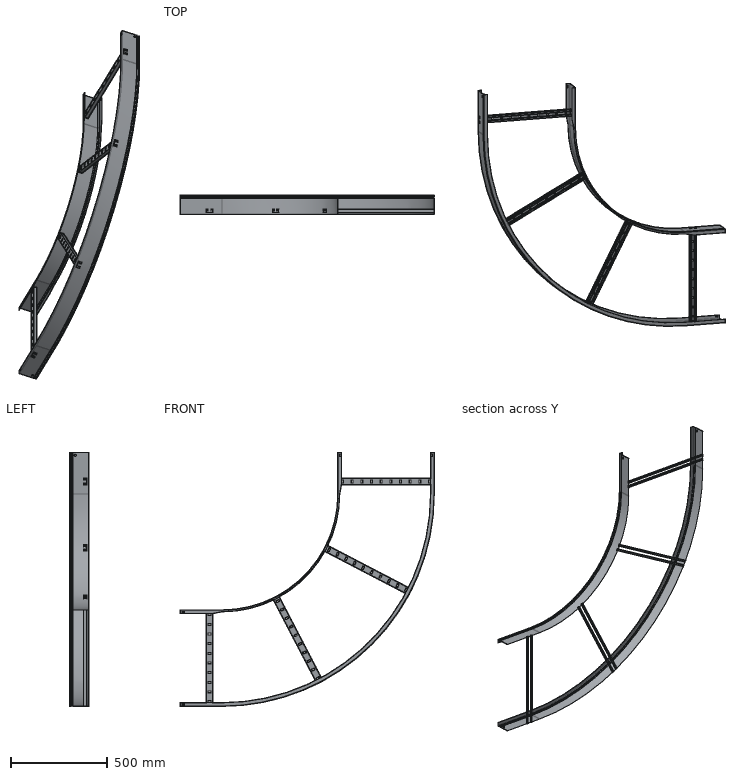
import cadquery as cq
import math

SIZE = 1318.0
RAIL_HEIGHT = 100.0
SHEET = 2.0

STRAIGHT = 217.0
OUTER_RADIUS = SIZE - STRAIGHT
INNER_RADIUS = 600.0
FLANGE = 20.0
CORNER_RADIUS = 3.0
BEND_CENTRE = cq.Vector(STRAIGHT, 0, OUTER_RADIUS)
QUARTER = 90

BEND_FLANGE = 10.0
TAPER_LENGTH = 49.0

GROOVE_START = RAIL_HEIGHT - 17.0
GROOVE_END = RAIL_HEIGHT - 7.0
GROOVE_DEPTH = 5.0

END_GAP = 16.0
FLANGE_SLOT_LENGTH = 12.0
FLANGE_SLOT_WIDTH = 7.0
FLANGE_SLOT_OFFSET = 13.0
WEB_HOLE_DIAMETER = 9.0
WEB_HOLE_Y = RAIL_HEIGHT - 29.0

RUNG_WIDTH = 35.0
RUNG_Y = 9.0
RUNG_DEPTH = 20.0
LIP = 10.0
LIP_RETURN = 10.0
RUNG_SETBACK = 66.0
RUNG_ANGLE = 27.5

SLOT_COUNT = 10
SLOT_PITCH = 50.0
SLOT_LENGTH = 15.0
SLOT_WIDTH = 8.0


def turned(shape, degrees):
    """Rotate a shape about the bend axis, from the +X arm towards the -Z arm."""
    axis_end = BEND_CENTRE + cq.Vector(0, 13, 0)
    return shape.rotate(BEND_CENTRE.toTuple(), axis_end.toTuple(), degrees)


def swept(outline):
    """Sweep a closed (radius, y) wire along a straight, the quarter bend and a straight."""
    section = cq.Face.makeFromWires(outline.moved(cq.Location(BEND_CENTRE)))
    bend = cq.Solid.revolve(section, QUARTER, BEND_CENTRE, BEND_CENTRE + cq.Vector(0, 13, 0))
    upper_leg = cq.Solid.extrudeLinear(section, cq.Vector(0, 0, STRAIGHT))
    lower_leg = turned(cq.Solid.extrudeLinear(section, cq.Vector(0, 0, -STRAIGHT)), QUARTER)
    return cq.Workplane(bend).union(cq.Workplane(upper_leg)).union(cq.Workplane(lower_leg))


def rail_outline(web_radius, inward):
    """Grooved channel section; inward (+1 or -1) is the radial direction of the flanges."""
    groove_middle = (GROOVE_START + GROOVE_END) / 2
    web_back = [
        (0, 0),
        (0, GROOVE_START),
        (GROOVE_DEPTH, groove_middle),
        (0, GROOVE_END),
        (0, RAIL_HEIGHT),
    ]
    web_front = [
        (SHEET, RAIL_HEIGHT - SHEET),
        (SHEET, GROOVE_END),
        (SHEET + GROOVE_DEPTH, groove_middle),
        (SHEET, GROOVE_START),
        (SHEET, SHEET),
    ]
    upper_tip = [(FLANGE, RAIL_HEIGHT), (FLANGE, RAIL_HEIGHT - SHEET)]
    lower_tip = [(FLANGE, SHEET), (FLANGE, 0)]

    points = web_back + upper_tip + web_front + lower_tip
    wire = cq.Wire.makePolygon([(web_radius + inward * depth, y) for depth, y in points], close=True)
    bends = [
        (CORNER_RADIUS, web_back[0]),
        (CORNER_RADIUS, web_back[-1]),
        (CORNER_RADIUS - SHEET, web_front[0]),
        (CORNER_RADIUS - SHEET, web_front[-1]),
    ]
    for radius, (depth, y) in bends:
        corner = cq.Vector(web_radius + inward * depth, y, 0)
        vertex = min(wire.Vertices(), key=lambda v: (v.Center() - corner).Length)
        wire = wire.fillet2D(radius, [vertex])
    return wire


def bay(inner, outer):
    """Full-height space between two radii, following the run of the rails."""
    corners = [(inner, 0), (outer, 0), (outer, RAIL_HEIGHT), (inner, RAIL_HEIGHT)]
    return swept(cq.Wire.makePolygon(corners, close=True))


def flange_trim():
    """Cutter that narrows the inner rail's flanges around the bend."""
    full = INNER_RADIUS + FLANGE
    trimmed = INNER_RADIUS + BEND_FLANGE
    middle = trimmed * math.sqrt(0.5)
    plane = cq.Plane(origin=BEND_CENTRE.toTuple(), xDir=(1, 0, 0), normal=(0, -1, 0))
    outline = (
        cq.Workplane(plane)
        .moveTo(-TAPER_LENGTH, -full)
        .lineTo(0, -trimmed)
        .threePointArc((middle, -middle), (trimmed, 0))
        .lineTo(full, TAPER_LENGTH)
        .lineTo(full, -full)
        .close()
    )
    return outline.extrude(-RAIL_HEIGHT)


def flange_slots(web_radius, inward):
    """Cutters for the slots through the -Y flange, one at each end of a rail."""
    offset = web_radius + inward * FLANGE_SLOT_OFFSET
    size = (FLANGE_SLOT_WIDTH, 2 * SHEET, FLANGE_SLOT_LENGTH)
    along = STRAIGHT - END_GAP
    upper = cq.Workplane("XY").box(*size).translate(BEND_CENTRE + cq.Vector(offset, 0, along))
    lower = cq.Workplane("XY").box(*size).translate(BEND_CENTRE + cq.Vector(offset, 0, -along))
    return upper.add(turned(lower, QUARTER))


def web_hole(web_radius, along):
    """Cutter for a round web hole on the +X arm, at a signed distance along the straight."""
    start = BEND_CENTRE + cq.Vector(web_radius, WEB_HOLE_Y, along)
    hole = cq.Workplane(cq.Plane(origin=start.toTuple(), xDir=(0, 1, 0), normal=(1, 0, 0)))
    return hole.circle(WEB_HOLE_DIAMETER / 2).extrude(2 * SHEET, both=True)


def rung_blank():
    """Lipped C-section along the +X arm, long enough to pass through both rail webs."""
    half = RUNG_WIDTH / 2
    top = RUNG_Y + RUNG_DEPTH
    inside = half - SHEET
    lip_end = half - LIP
    right_side = [
        (half, RUNG_Y),
        (half, top),
        (lip_end, top),
        (lip_end, top - LIP_RETURN),
        (lip_end + SHEET, top - LIP_RETURN),
        (lip_end + SHEET, top - SHEET),
        (inside, top - SHEET),
        (inside, RUNG_Y + SHEET),
    ]
    left_side = [(-z, y) for z, y in reversed(right_side)]
    start = BEND_CENTRE + cq.Vector(INNER_RADIUS - FLANGE, 0, 0)
    plane = cq.Plane(origin=start.toTuple(), xDir=(0, 0, 1), normal=(1, 0, 0))
    length = OUTER_RADIUS - INNER_RADIUS + 2 * FLANGE
    outline = [(z, -y) for z, y in right_side + left_side]
    return cq.Workplane(plane).polyline(outline).close().extrude(length)


def rung_slots():
    """Cutters for the row of slots, centred between the two webs."""
    middle = (INNER_RADIUS + OUTER_RADIUS) / 2
    slots = cq.Workplane("XY")
    for i in range(SLOT_COUNT):
        offset = middle + (i - (SLOT_COUNT - 1) / 2) * SLOT_PITCH
        slot = cq.Workplane("XY").box(SLOT_WIDTH, 3 * SHEET, SLOT_LENGTH)
        slots = slots.add(slot.translate(BEND_CENTRE + cq.Vector(offset, RUNG_Y, 0)))
    return slots


def tab_zone():
    """Parts of the rung section that continue through the rail webs: the front and the lips."""
    length = 2 * SIZE
    front = cq.Workplane("XY").box(length, 2 * SHEET, RUNG_WIDTH)
    lips = cq.Workplane("XY").box(length, 2 * LIP_RETURN, RUNG_WIDTH)
    front = front.translate(BEND_CENTRE + cq.Vector(0, RUNG_Y, 0))
    lips = lips.translate(BEND_CENTRE + cq.Vector(0, RUNG_Y + RUNG_DEPTH, 0))
    return front.add(lips)


def rung(degrees, shift):
    """Slotted rung on the arm at this angle, shifted along +Z before it is turned there."""
    offset = (0, 0, shift)
    bar = turned(rung_blank().translate(offset), degrees)
    tabs = turned(tab_zone().translate(offset), degrees)
    slots = turned(rung_slots().translate(offset), degrees)
    between_webs = bar.intersect(bay(INNER_RADIUS + SHEET, OUTER_RADIUS - SHEET))
    with_tabs = bar.intersect(bay(INNER_RADIUS, OUTER_RADIUS)).intersect(tabs)
    return between_webs.union(with_tabs).cut(slots)


rungs = [
    rung(0, RUNG_SETBACK),
    rung(RUNG_ANGLE, 0),
    rung(QUARTER - RUNG_ANGLE, 0),
    rung(QUARTER, -RUNG_SETBACK),
]

inner_rail = swept(rail_outline(INNER_RADIUS, 1)).cut(flange_slots(INNER_RADIUS, 1))
outer_rail = swept(rail_outline(OUTER_RADIUS, -1)).cut(flange_slots(OUTER_RADIUS, -1))
inner_rail = inner_rail.cut(flange_trim())

hole_along = STRAIGHT - END_GAP
inner_rail = inner_rail.cut(web_hole(INNER_RADIUS, hole_along))
outer_rail = outer_rail.cut(web_hole(OUTER_RADIUS, hole_along))
outer_rail = outer_rail.cut(turned(web_hole(OUTER_RADIUS, -hole_along), QUARTER))

for bar in rungs:
    inner_rail = inner_rail.cut(bar)
    outer_rail = outer_rail.cut(bar)

result = cq.Compound.makeCompound([inner_rail.val(), outer_rail.val(), *[bar.val() for bar in rungs]])